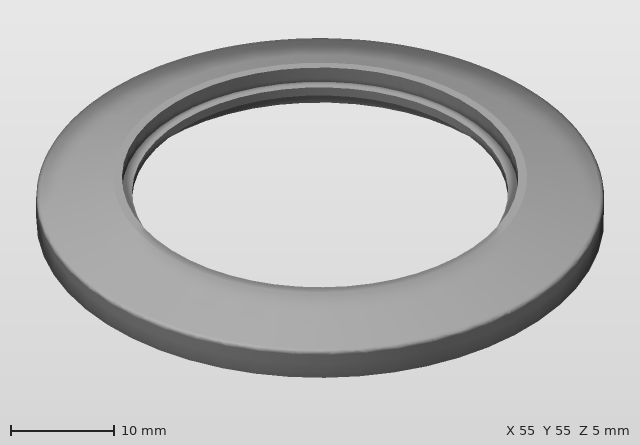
import cadquery as cq
import math

outer_diameter = 55.0
height = 5.0
top_face_diameter = 40.1
cone_angle = 15.0
rim_fillet = 0.5

lip_diameter = 36.4
socket_diameter = 38.4
socket_depth = 1.65
recess_diameter = 41.2
recess_depth = 2.4

outer_radius = outer_diameter / 2
top_face_radius = top_face_diameter / 2
cone_drop = (outer_radius - top_face_radius) * math.tan(math.radians(cone_angle))
rim_height = height - cone_drop


def bore_cutter(diameter, base, depth):
    """Upright cylinder on the ring axis."""
    return cq.Workplane("XY", origin=(0, 0, base)).circle(diameter / 2).extrude(depth)


rim = cq.Workplane("XY").circle(outer_radius).extrude(rim_height)
cone = cq.Workplane(
    cq.Solid.makeCone(outer_radius, top_face_radius, cone_drop, pnt=cq.Vector(0, 0, rim_height))
)
rim_edge = cq.selectors.NearestToPointSelector((0, 0, rim_height))
body = rim.union(cone).edges("%CIRCLE").edges(rim_edge).fillet(rim_fillet)

lip_bore = bore_cutter(lip_diameter, 0, height)
socket = bore_cutter(socket_diameter, height - socket_depth, socket_depth)
recess = bore_cutter(recess_diameter, 0, recess_depth)

result = body.cut(lip_bore).cut(socket).cut(recess)